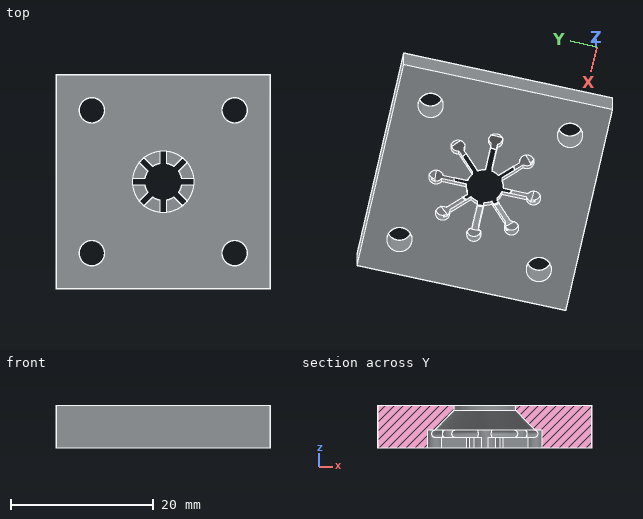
import cadquery as cq

side = 30
thickness = 6

mount_diameter = 3.5
mount_spacing = 20.0

mouth_radius = 8.6 / 2
mouth_depth = 0.7
cavity_radius = 7.0
rim_round_radius = 0.5
floor_thickness = 1.5

opening_diameter = 5.2
slot_count = 8
slot_width = 0.9
slot_end_diameter = 2.0

mouth_bottom = thickness - mouth_depth
cone_bottom = floor_thickness + 2 * rim_round_radius
rim_middle = floor_thickness + rim_round_radius


def make_plate():
    """Square plate standing on Z = 0 with four through holes."""
    plate = cq.Workplane("XY").box(side, side, thickness, centered=(True, True, False))
    return (
        plate.faces(">Z").workplane()
        .rect(mount_spacing, mount_spacing, forConstruction=True)
        .vertices().hole(mount_diameter)
    )


def make_cavity():
    """Revolved cavity, profiled in the XZ plane and turned about Z."""
    return (
        cq.Workplane("XZ")
        .moveTo(0, floor_thickness)
        .lineTo(cavity_radius, floor_thickness)
        .threePointArc((cavity_radius + rim_round_radius, rim_middle), (cavity_radius, cone_bottom))
        .lineTo(mouth_radius, mouth_bottom)
        .lineTo(mouth_radius, thickness)
        .lineTo(0, thickness)
        .close()
        .revolve(360, (0, 0, 0), (0, 1, 0))
    )


def make_slot(angle):
    """Radial slot through the floor, ending in a hole that also cuts the rounded rim."""
    slot = (
        cq.Workplane("XY")
        .rect(cavity_radius, slot_width).extrude(floor_thickness)
        .translate((cavity_radius / 2, 0, 0))
    )
    slot_end = (
        cq.Workplane("XY").center(cavity_radius, 0)
        .circle(slot_end_diameter / 2).extrude(cone_bottom)
    )
    return slot.union(slot_end).rotate((0, 0, 0), (0, 0, 1), angle)


opening = cq.Workplane("XY").circle(opening_diameter / 2).extrude(floor_thickness)

result = make_plate().cut(make_cavity()).cut(opening)
for index in range(slot_count):
    result = result.cut(make_slot(index * 360 / slot_count))